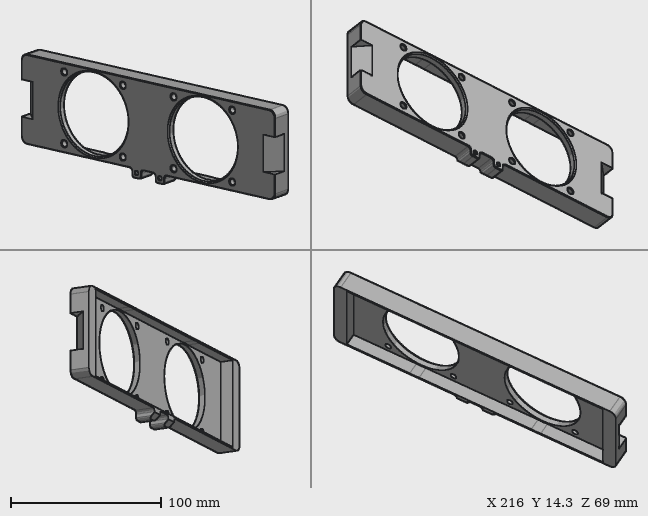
import cadquery as cq

length = 216.0
height = 62.5
depth = 14.3
corner_radius = 5.0
front_chamfer = 0.5

fan_spacing = 93.0
plate_thickness = 5.2
bore_diameter = 58.0
bore_chamfer = 0.97
screw_spacing = 50.0
screw_diameter = 4.3
screw_chamfer = 0.5

pocket_height = 60.0
end_wall = 10.0
relief_diameter = 60.5

notch_height = 26.0
notch_size = 10.0

tab_spacing = 19.9
tab_width = 8.0
tab_drop = 6.5
tab_back_chamfer = 3.9
tab_corner_radius = 2.0
tab_root_radius = 2.2
tab_hole_diameter = 2.4
tab_hole_depth = 6.5
tab_hole_chamfer = 0.5
tab_hole_drop = 2.5

bottom = -height / 2
pocket_depth = depth - plate_thickness
pocket_length = length - 2 * end_wall


def mirrored(spacing):
    """Two places the given distance apart, centred on zero."""
    return (-spacing / 2, spacing / 2)


def front_hole(x, z, diameter, hole_depth, chamfer):
    """Tool for a hole bored along +Y from the front face, with a 45 degree entry chamfer."""
    radius = diameter / 2
    half_section = [
        (0, 0),
        (radius + chamfer, 0),
        (radius, chamfer),
        (radius, hole_depth),
        (0, hole_depth),
    ]
    tool = cq.Workplane("XY").polyline(half_section).close().revolve(360, (0, 0), (0, 1))
    return tool.translate((x, 0, z))


def tab(x):
    """Tab hanging below the plate, with a flared root, a rounded tip and a sloped back."""
    half = tab_width / 2
    flare = half + tab_root_radius
    tip = bottom - tab_drop
    root = bottom - tab_root_radius
    body = (
        cq.Workplane("XZ", origin=(x, 0, 0))
        .moveTo(-flare, bottom)
        .radiusArc((-half, root), tab_root_radius)
        .lineTo(-half, tip + tab_corner_radius)
        .radiusArc((-half + tab_corner_radius, tip), -tab_corner_radius)
        .lineTo(half - tab_corner_radius, tip)
        .radiusArc((half, tip + tab_corner_radius), -tab_corner_radius)
        .lineTo(half, root)
        .radiusArc((flare, bottom), tab_root_radius)
        .close()
        .extrude(-depth)
    )
    slope = [
        (depth, tip),
        (depth - tab_back_chamfer, tip),
        (depth, tip + tab_back_chamfer),
    ]
    wedge = cq.Workplane("YZ", origin=(x, 0, 0)).polyline(slope).close().extrude(tab_width, both=True)
    return body.cut(wedge)


def end_notch(side):
    """Triangular prism cut from the front edge at one end; side is -1 or 1."""
    end = side * length / 2
    triangle = [(end, 0), (end - side * notch_size, 0), (end, notch_size)]
    return cq.Workplane("XY").polyline(triangle).close().extrude(notch_height / 2, both=True)


result = (
    cq.Workplane("XY")
    .box(length, depth, height)
    .translate((0, depth / 2, 0))
    .edges("|Y")
    .fillet(corner_radius)
)
for tab_x in mirrored(tab_spacing):
    result = result.union(tab(tab_x))
result = result.faces("<Y").chamfer(front_chamfer)

pocket = (
    cq.Workplane("XY")
    .box(pocket_length, pocket_depth, pocket_height)
    .translate((0, plate_thickness + pocket_depth / 2, 0))
)
result = result.cut(pocket)

for fan_x in mirrored(fan_spacing):
    relief = (
        cq.Workplane("XZ", origin=(fan_x, plate_thickness, 0))
        .circle(relief_diameter / 2)
        .extrude(-pocket_depth)
    )
    result = result.cut(relief)
    result = result.cut(front_hole(fan_x, 0, bore_diameter, plate_thickness, bore_chamfer))
    for screw_dx in mirrored(screw_spacing):
        for screw_z in mirrored(screw_spacing):
            screw_hole = front_hole(
                fan_x + screw_dx, screw_z, screw_diameter, plate_thickness, screw_chamfer
            )
            result = result.cut(screw_hole)

for tab_x in mirrored(tab_spacing):
    tab_hole = front_hole(
        tab_x, bottom - tab_hole_drop, tab_hole_diameter, tab_hole_depth, tab_hole_chamfer
    )
    result = result.cut(tab_hole)

for side in (-1, 1):
    result = result.cut(end_notch(side))